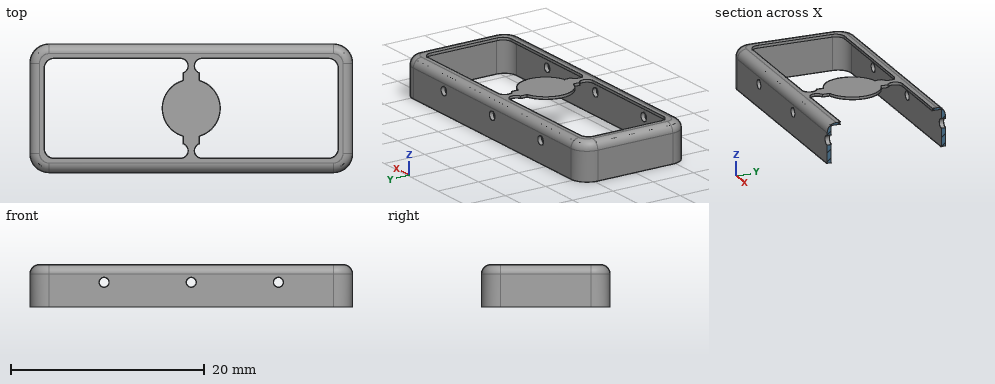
import cadquery as cq
import math

length = 33.3
width = 13.3
height = 4.4
corner_radius = 2.0
top_fillet = 1.0

wall = 0.5
lip_width = 1.5
lip_thickness = 0.3
opening_corner_radius = 1.0

disc_radius = 3.0
tab_width = 1.65
neck_width = 0.65
neck_radius = 0.75

hole_diameter = 1.0
hole_spacing = 9.0
hole_height = 2.55


def rounded_block(size_x, size_y, size_z, radius):
    """Block standing on Z = 0 with rounded vertical edges."""
    block = cq.Workplane("XY").box(size_x, size_y, size_z, centered=(True, True, False))
    return block.edges("|Z").fillet(radius)


def make_frame():
    """Rounded frame with a narrow inward lip at the top."""
    body = rounded_block(length, width, height, corner_radius)
    body = body.faces(">Z").edges().fillet(top_fillet)
    cavity = rounded_block(
        length - 2 * wall, width - 2 * wall, height - lip_thickness, corner_radius - wall
    )
    opening = rounded_block(
        length - 2 * lip_width, width - 2 * lip_width, height, opening_corner_radius
    )
    return body.cut(cavity).cut(opening)


def make_tab(side):
    """Tab from the disc to the lip, narrowed by a round notch on each flank."""
    lip_edge = width / 2 - lip_width
    notch_y = lip_edge - neck_radius
    notch_x = neck_width / 2 + neck_radius
    half_tab = tab_width / 2
    notch_start_y = notch_y - math.sqrt(neck_radius**2 - (notch_x - half_tab) ** 2)
    return (
        cq.Workplane("XY", origin=(0, 0, height - lip_thickness))
        .moveTo(-half_tab, 0)
        .lineTo(half_tab, 0)
        .lineTo(half_tab, side * notch_start_y)
        .threePointArc((neck_width / 2, side * notch_y), (notch_x, side * lip_edge))
        .lineTo(-notch_x, side * lip_edge)
        .threePointArc((-neck_width / 2, side * notch_y), (-half_tab, side * notch_start_y))
        .close()
        .extrude(lip_thickness)
    )


def make_disc():
    """Thin disc flush with the top of the frame."""
    plane = cq.Workplane("XY", origin=(0, 0, height - lip_thickness))
    return plane.circle(disc_radius).extrude(lip_thickness)


def make_side_holes():
    """Row of holes through both long walls."""
    positions = [(step * hole_spacing, hole_height) for step in (-1, 0, 1)]
    plane = cq.Workplane("XZ").pushPoints(positions)
    return plane.circle(hole_diameter / 2).extrude(width, both=True)


result = make_frame().union(make_disc())
for side in (-1, 1):
    result = result.union(make_tab(side))
result = result.cut(make_side_holes()).clean()